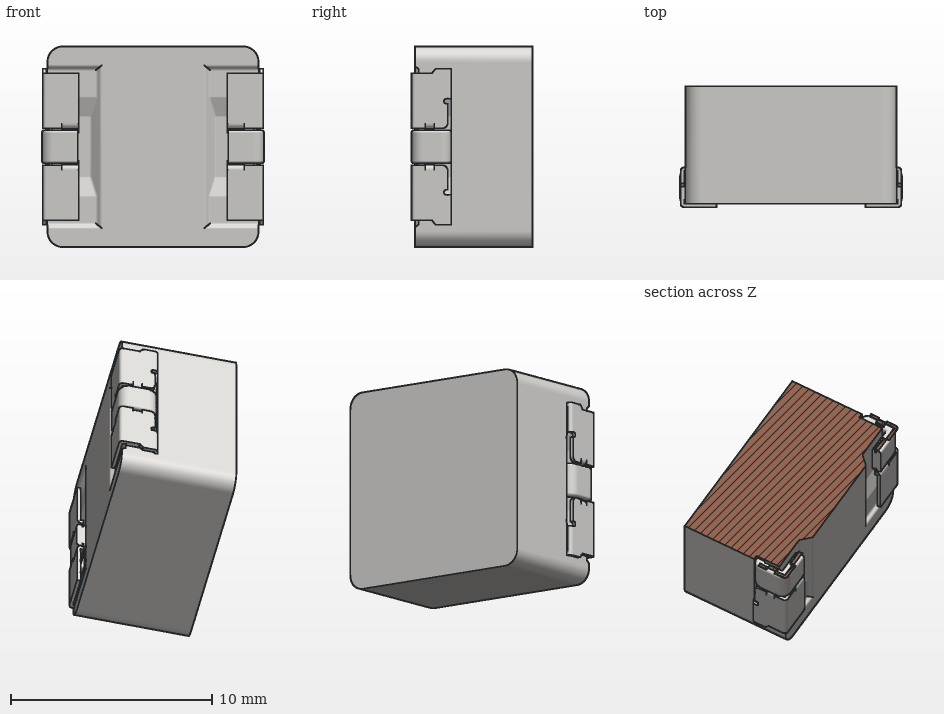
import math

import cadquery as cq


BODY_LENGTH = 10.51
BODY_DEPTH = 5.85
BODY_HEIGHT = 10.0
CORNER_RADIUS = 0.77
BODY_SIDE = -BODY_LENGTH / 2

TERMINAL_OUTER = -5.5
TERMINAL_THICKNESS = 0.18
TERMINAL_TIP = -3.69
TERMINAL_BEND = 0.19
TERMINAL_TOP = 1.81
PLATE_TOP = TERMINAL_TOP - TERMINAL_BEND
TERMINAL_INNER_EDGE = 0.92
TERMINAL_OUTER_EDGE = 3.66
TAB_OUTER_EDGE = 3.88
TAB_INNER_EDGE = 2.39
TAB_STEP_START = 0.84
TAB_STEP_END = 1.03
RELIEF_RADIUS = 0.12
RELIEF_DEPTH = 0.19
PLATE_CORNER_RADIUS = 0.27
EMBEDDED_LENGTH = 0.44

STRAP_OUTER = -5.53
STRAP_THICKNESS = 0.5
STRAP_TIP = -3.74
STRAP_BEND = 0.53
STRAP_HALF_WIDTH = 0.83
STRAP_EDGE_ROUND = 0.13

BEAD_RADIUS = 0.27
BEAD_START = 1.15
BEAD_DEPTH = 0.33
FRONT_BEAD_LENGTH = 0.84
SIDE_BEAD_FROM = 0.51
SIDE_BEAD_TO = 0.96

POCKET_INNER = -2.53
POCKET_HALF_WIDTH = 4.08
POCKET_ROUND = 0.17
END_WALL_ANGLE = math.radians(66)
INNER_WALL_ANGLE = math.radians(45)
SLOPE_OUTER = 2.47
SLOPE_INNER = 1.52
SLOPE_DEPTH = 0.3
SLOPE_ROUND = 0.17
SHALLOW_DEPTH = 2 * POCKET_ROUND * (1 - math.cos(END_WALL_ANGLE))
DEEP_DEPTH = SHALLOW_DEPTH + SLOPE_DEPTH
PAD_FACE = TERMINAL_OUTER + TERMINAL_THICKNESS

FRONT_FACE = -TERMINAL_THICKNESS
CLEARANCE = 0.55
SELECT_MARGIN = 0.01
OUTSIDE_X = STRAP_OUTER - CLEARANCE


def extrude_x(profile, start, end):
    """Extrude a closed YZ profile from x = start to x = end."""
    return profile.extrude(end - start).translate((start, 0, 0))


def extrude_z(profile, start, end):
    """Extrude a closed XY profile from z = start to z = end."""
    return profile.extrude(end - start).translate((0, 0, start))


def box_between(low, high):
    """Box spanning two opposite corners."""
    size = [b - a for a, b in zip(low, high)]
    return cq.Workplane("XY").box(*size, centered=False).translate(low)


def make_body():
    body = cq.Workplane("XY").box(BODY_LENGTH, BODY_DEPTH, BODY_HEIGHT)
    return body.edges("|Y").fillet(CORNER_RADIUS).translate((0, BODY_DEPTH / 2, 0))


def make_side_pad():
    """Shallow raised land on the body side that backs the terminals."""
    return box_between(
        (PAD_FACE, 0, -TERMINAL_OUTER_EDGE),
        (BODY_SIDE + EMBEDDED_LENGTH, TERMINAL_TOP, TERMINAL_OUTER_EDGE),
    )


def make_step_profile(plane, shallow, deep, outside):
    """Open-topped trough profile: shallow shoulders sloping down to a deeper middle level."""
    end = POCKET_HALF_WIDTH + CLEARANCE
    return cq.Workplane(plane).polyline([
        (outside, end),
        (shallow, end),
        (shallow, SLOPE_OUTER),
        (deep, SLOPE_INNER),
        (deep, -SLOPE_INNER),
        (shallow, -SLOPE_OUTER),
        (shallow, -end),
        (outside, -end),
    ]).close()


def round_slopes(cutter, direction, low, high):
    """Round the slope edges that run along a direction and lie inside the given box."""
    return cutter.edges(direction).edges(cq.selectors.BoxSelector(low, high)).fillet(SLOPE_ROUND)


def arc_offset(angle):
    """Run and drop along a pocket rounding that has turned by the given angle."""
    return POCKET_ROUND * math.sin(angle), POCKET_ROUND * (1 - math.cos(angle))


def make_inner_wall_profile():
    """XY profile of the pocket space outside its inner wall: rounded lip, then a straight slope."""
    lip_run, lip_drop = arc_offset(INNER_WALL_ANGLE)
    mid_run, mid_drop = arc_offset(INNER_WALL_ANGLE / 2)
    bottom = lip_drop + 2 * DEEP_DEPTH
    bottom_x = POCKET_INNER - lip_run - (bottom - lip_drop) / math.tan(INNER_WALL_ANGLE)
    return (
        cq.Workplane("XY")
        .moveTo(OUTSIDE_X, -CLEARANCE)
        .lineTo(POCKET_INNER, -CLEARANCE)
        .lineTo(POCKET_INNER, 0)
        .threePointArc((POCKET_INNER - mid_run, mid_drop), (POCKET_INNER - lip_run, lip_drop))
        .lineTo(bottom_x, bottom)
        .lineTo(OUTSIDE_X, bottom)
        .close()
    )


def make_end_wall_profile():
    """YZ profile between the end walls, each a convex arc running into a concave one."""
    run, drop = arc_offset(END_WALL_ANGLE)
    mid_run, mid_drop = arc_offset(END_WALL_ANGLE / 2)
    edge = POCKET_HALF_WIDTH
    foot = edge - 2 * run
    return (
        cq.Workplane("YZ")
        .moveTo(-CLEARANCE, edge)
        .lineTo(0, edge)
        .threePointArc((mid_drop, edge - mid_run), (drop, edge - run))
        .threePointArc((SHALLOW_DEPTH - mid_drop, foot + mid_run), (SHALLOW_DEPTH, foot))
        .lineTo(2 * DEEP_DEPTH, foot)
        .lineTo(2 * DEEP_DEPTH, -foot)
        .lineTo(SHALLOW_DEPTH, -foot)
        .threePointArc((SHALLOW_DEPTH - mid_drop, -foot - mid_run), (drop, run - edge))
        .threePointArc((mid_drop, mid_run - edge), (0, -edge))
        .lineTo(-CLEARANCE, -edge)
        .close()
    )


def make_front_pocket():
    """Pocket in the mounting face: rounded end walls, deeper middle and a sloping inner wall."""
    end = POCKET_HALF_WIDTH + CLEARANCE
    trough = make_step_profile("YZ", SHALLOW_DEPTH, DEEP_DEPTH, -CLEARANCE)
    pocket = extrude_x(trough, OUTSIDE_X, POCKET_INNER)
    pocket = round_slopes(
        pocket,
        "|X",
        (OUTSIDE_X, 0, -SLOPE_OUTER - SELECT_MARGIN),
        (POCKET_INNER, DEEP_DEPTH + SELECT_MARGIN, SLOPE_OUTER + SELECT_MARGIN),
    )
    pocket = pocket.intersect(extrude_z(make_inner_wall_profile(), -end, end))

    foot = cq.selectors.BoxSelector(
        (POCKET_INNER - 3 * DEEP_DEPTH, SHALLOW_DEPTH - SELECT_MARGIN, -end),
        (POCKET_INNER, DEEP_DEPTH + SELECT_MARGIN, end),
    )
    pocket = pocket.edges(foot).edges("not |X").fillet(POCKET_ROUND)
    return pocket.intersect(extrude_x(make_end_wall_profile(), OUTSIDE_X, POCKET_INNER))


def make_side_recess():
    """Recess in the body side behind the strap, with sloping ends like the front pocket."""
    deep_x = PAD_FACE + SLOPE_DEPTH
    recess = make_step_profile("XZ", PAD_FACE, deep_x, OUTSIDE_X).extrude(-TERMINAL_TOP)
    return round_slopes(
        recess,
        "|Y",
        (OUTSIDE_X, 0, -SLOPE_OUTER - SELECT_MARGIN),
        (deep_x + SELECT_MARGIN, TERMINAL_TOP, SLOPE_OUTER + SELECT_MARGIN),
    )


def make_bent_strip(outer_x, tip_x, thickness, bend, low_z, high_z):
    """Strip along the mounting face, bent up the body side and bent again into the body."""
    inner_bend = bend - thickness
    inner_x = outer_x + thickness
    inner_front = FRONT_FACE + thickness
    inner_top = TERMINAL_TOP - thickness
    embedded = BODY_SIDE + EMBEDDED_LENGTH
    outline = (
        cq.Workplane("XY")
        .moveTo(tip_x, FRONT_FACE)
        .lineTo(outer_x + bend, FRONT_FACE)
        .radiusArc((outer_x, FRONT_FACE + bend), bend)
        .lineTo(outer_x, TERMINAL_TOP - bend)
        .radiusArc((outer_x + bend, TERMINAL_TOP), bend)
        .lineTo(embedded, TERMINAL_TOP)
        .lineTo(embedded, inner_top)
        .lineTo(inner_x + inner_bend, inner_top)
        .radiusArc((inner_x, inner_top - inner_bend), -inner_bend)
        .lineTo(inner_x, inner_front + inner_bend)
        .radiusArc((inner_x + inner_bend, inner_front), -inner_bend)
        .lineTo(tip_x, inner_front)
        .close()
    )
    return extrude_z(outline, low_z, high_z)


def make_strap():
    strap = make_bent_strip(
        STRAP_OUTER, STRAP_TIP, STRAP_THICKNESS, STRAP_BEND, -STRAP_HALF_WIDTH, STRAP_HALF_WIDTH
    )
    front_leg_edges = cq.selectors.BoxSelector(
        (STRAP_OUTER + STRAP_THICKNESS, FRONT_FACE - SELECT_MARGIN, -STRAP_HALF_WIDTH - SELECT_MARGIN),
        (STRAP_TIP, FRONT_FACE + STRAP_THICKNESS + SELECT_MARGIN, STRAP_HALF_WIDTH + SELECT_MARGIN),
    )
    return strap.edges("|X").edges(front_leg_edges).fillet(STRAP_EDGE_ROUND)


def make_terminal():
    """Terminal on the +Z side of the strap."""
    terminal = make_bent_strip(
        TERMINAL_OUTER, TERMINAL_TIP, TERMINAL_THICKNESS, TERMINAL_BEND,
        TERMINAL_INNER_EDGE, TAB_OUTER_EDGE,
    )
    relief_center = TAB_INNER_EDGE - RELIEF_RADIUS
    relief_shoulder = PLATE_TOP - RELIEF_DEPTH + RELIEF_RADIUS
    blank = (
        cq.Workplane("YZ")
        .moveTo(FRONT_FACE, TERMINAL_INNER_EDGE)
        .lineTo(FRONT_FACE, TERMINAL_OUTER_EDGE)
        .lineTo(TAB_STEP_START, TERMINAL_OUTER_EDGE)
        .lineTo(TAB_STEP_END, TAB_OUTER_EDGE)
        .lineTo(TERMINAL_TOP, TAB_OUTER_EDGE)
        .lineTo(TERMINAL_TOP, TAB_INNER_EDGE)
        .lineTo(relief_shoulder, TAB_INNER_EDGE)
        .threePointArc(
            (PLATE_TOP - RELIEF_DEPTH, relief_center),
            (relief_shoulder, relief_center - RELIEF_RADIUS),
        )
        .lineTo(PLATE_TOP, relief_center - RELIEF_RADIUS)
        .lineTo(PLATE_TOP, TERMINAL_INNER_EDGE + PLATE_CORNER_RADIUS)
        .radiusArc((PLATE_TOP - PLATE_CORNER_RADIUS, TERMINAL_INNER_EDGE), PLATE_CORNER_RADIUS)
        .close()
    )
    return terminal.intersect(extrude_x(blank, STRAP_OUTER, TERMINAL_TIP))


def make_bead(length):
    """Weld bead along +X, its face at y = 0, running from the terminal down to the strap."""
    end = BEAD_START - BEAD_RADIUS
    root = STRAP_HALF_WIDTH - STRAP_EDGE_ROUND
    profile = (
        cq.Workplane("YZ")
        .moveTo(0, BEAD_START)
        .radiusArc((BEAD_RADIUS, end), -BEAD_RADIUS)
        .lineTo(BEAD_RADIUS, root)
        .lineTo(BEAD_DEPTH, root)
        .lineTo(BEAD_DEPTH, BEAD_START)
        .close()
    )
    return profile.extrude(length)


def make_welded_terminal():
    """Terminal with its edge opened locally and filled by the front and side weld beads."""
    side_length = SIDE_BEAD_TO - SIDE_BEAD_FROM
    front_place = (TERMINAL_TIP - FRONT_BEAD_LENGTH, FRONT_FACE, 0)
    side_place = (TERMINAL_OUTER, SIDE_BEAD_TO, 0)

    terminal = make_terminal()
    for length, turn, place in ((FRONT_BEAD_LENGTH, 0, front_place), (side_length, -90, side_place)):
        opening = box_between((0, 0, TERMINAL_INNER_EDGE), (length, TERMINAL_THICKNESS, BEAD_START))
        opening = opening.rotate((0, 0, 0), (0, 0, 1), turn).translate(place)
        bead = make_bead(length).rotate((0, 0, 0), (0, 0, 1), turn).translate(place)
        terminal = terminal.cut(opening).union(bead)
    return terminal


body = make_body()
pad = make_side_pad()
body = body.union(pad).union(pad.mirror("YZ"))

recess = make_front_pocket().union(make_side_recess())
body = body.cut(recess).cut(recess.mirror("YZ"))

terminal = make_welded_terminal()
contact = make_strap().union(terminal).union(terminal.mirror("XY"))
result = body.union(contact).union(contact.mirror("YZ"))